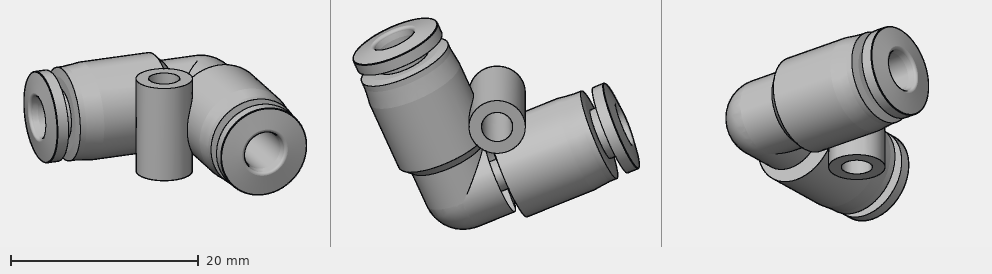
import cadquery as cq

overall = 24.0
body_radius = 5.25
leg_length = overall - body_radius

pipe_radius = 4.25
cone_start = pipe_radius
cone_end = body_radius

taper_start = 13.08
taper_end = 15.05
collar_radius = 5.05
collar_end = 15.77
body_end = 15.9
end_face_radius = 4.03

neck_radius = 2.8
flange_radius = 4.92
flange_start = 17.06
flange_rim_end = 18.3
rim_chamfer = 0.07
mouth_radius = 2.62

lead_in_radius = 2.25
lead_in_end = leg_length - 0.95
tube_radius = 2.14
mouth_rounding = mouth_radius - lead_in_radius
tube_seat = 9.6
bore_radius = 1.7

lug_offset = 6.9
lug_radius = 3.0
lug_hole_radius = 1.65
lug_height = 2 * body_radius


def revolve_about_x(profile):
    return profile.close().revolve(360, (0, 0, 0), (1, 0, 0))


def leg_solid():
    """Outer shape of one leg, along +X."""
    profile = (
        cq.Workplane("XY")
        .polyline([
            (0, 0),
            (0, pipe_radius),
            (cone_start, pipe_radius),
            (cone_end, body_radius),
            (taper_start, body_radius),
            (taper_end, collar_radius),
            (collar_end, collar_radius),
            (body_end, end_face_radius),
            (body_end, neck_radius),
            (flange_start, neck_radius),
            (flange_start, flange_radius),
            (flange_rim_end, flange_radius),
            (flange_rim_end + rim_chamfer, flange_radius - rim_chamfer),
            (leg_length, mouth_radius),
            (leg_length, 0),
        ])
    )
    return revolve_about_x(profile)


def leg_bore():
    """Through bore, tube socket, tapered lead-in and rounded mouth of one leg, along +X."""
    round_start = leg_length - mouth_rounding
    profile = (
        cq.Workplane("XY")
        .moveTo(0, 0)
        .lineTo(0, bore_radius)
        .lineTo(tube_seat, bore_radius)
        .lineTo(tube_seat, tube_radius)
        .lineTo(lead_in_end, tube_radius)
        .lineTo(round_start, lead_in_radius)
        .radiusArc((leg_length, mouth_radius), -mouth_rounding)
        .lineTo(leg_length, 0)
    )
    return revolve_about_x(profile)


def turned_to_second_leg(leg):
    """Turn a shape made along +X so that it lies along -Y."""
    return leg.rotate((0, 0, 0), (0, 0, 1), -90)


def corner_ball(radius):
    return cq.Workplane("XY").sphere(radius)


def lug_cylinder(radius):
    return (
        cq.Workplane("XY")
        .center(lug_offset, -lug_offset)
        .circle(radius)
        .extrude(lug_height / 2, both=True)
    )


leg = leg_solid()
bore = leg_bore()

outside = (
    leg
    .union(lug_cylinder(lug_radius))
    .union(turned_to_second_leg(leg))
    .union(corner_ball(pipe_radius))
)
passage = bore.union(turned_to_second_leg(bore)).union(corner_ball(bore_radius))
result = outside.cut(passage).cut(lug_cylinder(lug_hole_radius))